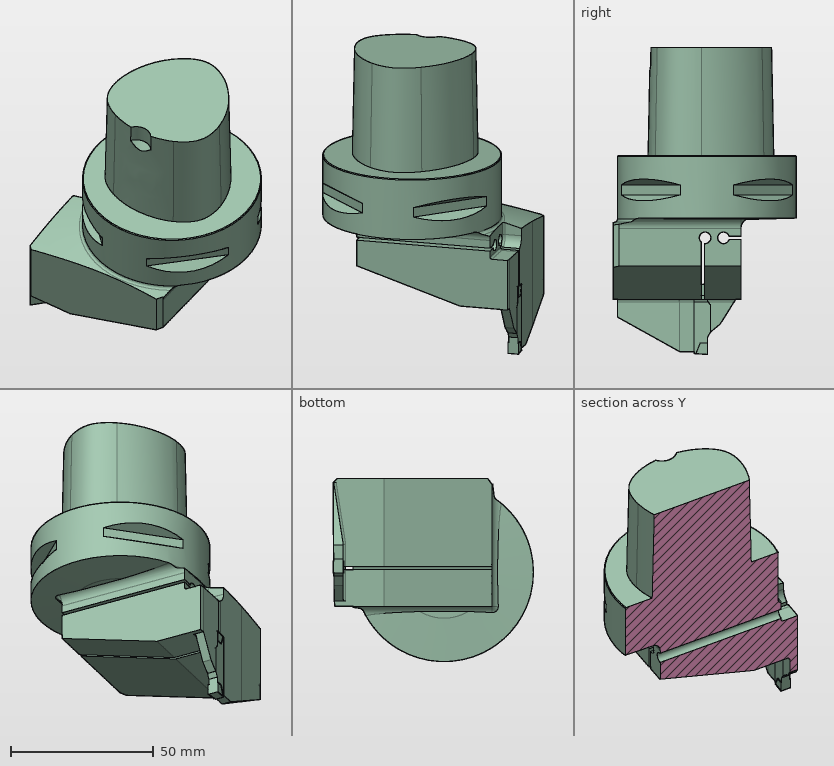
import cadquery as cq
import math


shank_height = 38.0
shank_base_radius = 22.1
shank_top_radius = 21.4
lobe_depth = 1.4
lobe_count = 3
lobe_half_angle = math.radians(35.7)
spline_spans = 8

notch_radius = 5.2
notch_axis_y = -22.8
notch_depth = 6.4
notch_point_depth = 4.6

flange_radius = 63.0 / 2
rim_bottom_z = -22.0
hub_bottom_z = -22.5
hub_radius = 16.2
flange_chamfer = 0.3

groove_count = 4
first_groove_angle = 45
groove_z = -12.1
groove_floor_distance = 27.9
groove_floor_half_height = 1.7
groove_flank_slope = math.tan(math.radians(30))

left_x = -39.0
right_x = 16.8
overall_depth = 64.5
front_y = flange_radius - overall_depth
back_y = 12.0
left_chamfer = 1.5
right_chamfer_x = 1.5
right_chamfer_y = 2.0
relief_start_y = -17.3
relief_depth = 0.38
edge_bevel_y = 1.8
edge_bevel_x = 0.2
block_bottom_z = -50.5
slope_start_x = -21.1
slope_end_z = -38.9

collar_top_z = -22.4
collar_radius = 1.1
cone_slope = math.tan(math.radians(15))
cone_reach = 64.8
root_flare_radius = 3.6

blade_back_x = -35.4
blade_edge_thickness = 0.2
blade_tip_back_x = left_x + blade_edge_thickness
blade_front_y = front_y + left_chamfer
blade_rear_y = back_y - edge_bevel_y
blade_full_y = -9.7
blade_toe_y = -9.5
blade_bottom_z = -69.0
blade_front_z = -56.8
blade_root_fillet = 0.9
finger_knee_y = 4.8
finger_knee_z = -59.2

recess_wall_x = -32.1
recess_side_y = -4.3
recess_floor_z = -32.4
recess_corner_radius = 4.5
recess_fillet = 0.8
slot_width = 1.1
hole_diameter = 4.0
hole_z = -28.9
rear_hole_y = 5.8
front_hole_y = -0.6
clamp_slot_y = -1.4

insert_top_z = -45.1
overall_height = 108.0
insert_bottom_z = shank_height - overall_height
insert_upper_y = 0.2
insert_crown_y = 1.3
insert_seat_y = -4.5
crown_start = 6.0
crown_top_z = -52.6
crown_bottom_z = -62.1
end_relief = 0.3
insert_face_x = -38.8
overall_width = 70.5
tip_outer_x = flange_radius - overall_width
tip_inner_x = -35.1
tip_length = 4.0
tip_root_y = -2.4
tip_heel_y = -3.9
clearance = 10.8


def lobed_point(mean_radius, angle, z):
    """Point of the three-lobed curve whose outward normal has the given angle."""
    phase = lobe_count * (angle - math.pi / 2)
    support = mean_radius + lobe_depth * math.cos(phase)
    slope = -lobe_count * lobe_depth * math.sin(phase)
    return cq.Vector(
        support * math.cos(angle) - slope * math.sin(angle),
        support * math.sin(angle) + slope * math.cos(angle),
        z,
    )


def lobed_edge(mean_radius, start, end, z):
    """Stretch of the three-lobed curve between two normal angles."""
    angles = [start + (end - start) * i / spline_spans for i in range(spline_spans + 1)]
    points = [lobed_point(mean_radius, angle, z) for angle in angles]
    tangents = [cq.Vector(-math.sin(angle), math.cos(angle), 0) for angle in (start, end)]
    return cq.Edge.makeSpline(points, tangents=tangents)


def lobed_wire(mean_radius, z):
    """Closed outline: a lobe and a flank, three times round, one lobe toward +Y."""
    pitch = 2 * math.pi / lobe_count
    edges = []
    for i in range(lobe_count):
        lobe_center = math.pi / 2 + i * pitch
        lobe_start = lobe_center - lobe_half_angle
        lobe_end = lobe_center + lobe_half_angle
        edges.append(lobed_edge(mean_radius, lobe_start, lobe_end, z))
        edges.append(lobed_edge(mean_radius, lobe_end, lobe_start + pitch, z))
    return cq.Wire.assembleEdges(edges)


def make_shank():
    """Tapered polygon shank with the drilled notch at its front."""
    wires = [lobed_wire(shank_base_radius, 0), lobed_wire(shank_top_radius, shank_height)]
    shank = cq.Workplane(cq.Solid.makeLoft(wires, True))
    shoulder_z = shank_height - notch_depth
    drill = (
        cq.Workplane("XZ")
        .moveTo(0, shank_height)
        .lineTo(notch_radius, shank_height)
        .lineTo(notch_radius, shoulder_z)
        .lineTo(0, shoulder_z - notch_point_depth)
        .close()
        .revolve(360, (0, 0), (0, 1))
        .translate((0, notch_axis_y, 0))
    )
    return shank.cut(drill)


def make_flange():
    """Round flange with the gripper grooves at the diagonals."""
    flange = (
        cq.Workplane("XZ")
        .moveTo(0, 0)
        .lineTo(flange_radius - flange_chamfer, 0)
        .lineTo(flange_radius, -flange_chamfer)
        .lineTo(flange_radius, rim_bottom_z)
        .lineTo(hub_radius, hub_bottom_z)
        .lineTo(0, hub_bottom_z)
        .close()
        .revolve(360, (0, 0), (0, 1))
    )
    mouth_distance = flange_radius + clearance
    mouth_half = groove_floor_half_height + (mouth_distance - groove_floor_distance) * groove_flank_slope
    groove = (
        cq.Workplane("XZ")
        .moveTo(groove_floor_distance, groove_z - groove_floor_half_height)
        .lineTo(mouth_distance, groove_z - mouth_half)
        .lineTo(mouth_distance, groove_z + mouth_half)
        .lineTo(groove_floor_distance, groove_z + groove_floor_half_height)
        .close()
        .extrude(flange_radius, both=True)
    )
    for i in range(groove_count):
        flange = flange.cut(groove.rotate((0, 0, 0), (0, 0, 1), first_groove_angle + i * 360 / groove_count))
    return flange


def make_head_envelope():
    """Solid of revolution that bounds the top of the head: collar and cone."""
    collar_outer = flange_radius + collar_radius
    collar_bottom_z = collar_top_z - collar_radius
    cone_end_z = collar_bottom_z - (cone_reach - collar_outer) * cone_slope
    mid = collar_radius * math.sqrt(0.5)
    floor_z = insert_bottom_z - clearance
    return (
        cq.Workplane("XZ")
        .moveTo(0, rim_bottom_z)
        .lineTo(flange_radius, rim_bottom_z)
        .lineTo(flange_radius, collar_top_z)
        .threePointArc(
            (collar_outer - mid, collar_top_z - mid),
            (collar_outer, collar_bottom_z),
        )
        .lineTo(cone_reach, cone_end_z)
        .lineTo(cone_reach, floor_z)
        .lineTo(0, floor_z)
        .close()
        .revolve(360, (0, 0), (0, 1))
    )


def make_block():
    """Prism with the plan outline of the head, with a sloping underside at the right."""
    plan = (
        cq.Workplane("XY")
        .workplane(offset=block_bottom_z)
        .moveTo(left_x, front_y + left_chamfer)
        .lineTo(left_x + left_chamfer, front_y)
        .lineTo(right_x - right_chamfer_x, front_y)
        .lineTo(right_x, front_y + right_chamfer_y)
        .lineTo(right_x, back_y)
        .lineTo(left_x + relief_depth + edge_bevel_x, back_y)
        .lineTo(left_x + relief_depth, back_y - edge_bevel_y)
        .lineTo(left_x, relief_start_y)
        .close()
        .extrude(rim_bottom_z - block_bottom_z)
    )
    underside = (
        cq.Workplane("XZ", origin=(0, back_y, 0))
        .moveTo(slope_start_x, block_bottom_z)
        .lineTo(right_x, slope_end_z)
        .lineTo(right_x, block_bottom_z)
        .close()
        .extrude(back_y - front_y)
    )
    return plan.cut(underside)


def sweep_concave_fillet(start_plane, path, radius):
    """Concave quarter-round fillet under a horizontal face, swept along its inner corner."""
    mid = radius * (1 - math.sqrt(0.5))
    return (
        start_plane
        .moveTo(0, -radius)
        .threePointArc((mid, -mid), (radius, 0))
        .lineTo(0, 0)
        .close()
        .sweep(path, transition="round")
    )


def make_root_flare():
    """Flare between the flange underside and the rear and right sides of the block."""
    path = (
        cq.Workplane("XY", origin=(0, 0, rim_bottom_z))
        .moveTo(left_x, back_y)
        .lineTo(right_x, back_y)
        .lineTo(right_x, front_y + right_chamfer_y)
    )
    start_plane = cq.Workplane("YZ", origin=(left_x, back_y, rim_bottom_z))
    return sweep_concave_fillet(start_plane, path, root_flare_radius)


def make_blade():
    """Thin support blade: side outline crossed with a plan that tapers toward the front."""
    side = (
        cq.Workplane("YZ", origin=(left_x, 0, 0))
        .moveTo(blade_rear_y, block_bottom_z)
        .lineTo(finger_knee_y, finger_knee_z)
        .lineTo(insert_crown_y, crown_bottom_z)
        .lineTo(insert_seat_y, blade_bottom_z)
        .lineTo(blade_toe_y, blade_bottom_z)
        .lineTo(blade_front_y, blade_front_z)
        .lineTo(blade_front_y, block_bottom_z)
        .close()
        .extrude(blade_back_x + blade_root_fillet - left_x)
    )
    plan = (
        cq.Workplane("XY")
        .workplane(offset=block_bottom_z)
        .moveTo(left_x, blade_front_y)
        .lineTo(blade_tip_back_x, blade_front_y)
        .lineTo(blade_back_x, blade_full_y)
        .lineTo(blade_back_x, blade_rear_y)
        .lineTo(left_x + relief_depth, blade_rear_y)
        .lineTo(left_x, relief_start_y)
        .close()
        .extrude(insert_bottom_z - block_bottom_z)
    )
    path = (
        cq.Workplane("XY", origin=(0, 0, block_bottom_z))
        .moveTo(blade_back_x, blade_rear_y)
        .lineTo(blade_back_x, blade_full_y)
        .lineTo(blade_tip_back_x, blade_front_y)
    )
    start_plane = cq.Workplane("XZ", origin=(blade_back_x, blade_rear_y, block_bottom_z))
    root_fillet = sweep_concave_fillet(start_plane, path, blade_root_fillet)
    return side.intersect(plan.union(root_fillet))


def make_recess():
    """Open pocket at the rear left that frees the clamping finger."""
    return (
        cq.Workplane("YZ", origin=(recess_wall_x, 0, 0))
        .moveTo(recess_side_y, 0)
        .lineTo(recess_side_y, recess_floor_z)
        .lineTo(back_y + clearance, recess_floor_z)
        .lineTo(back_y + clearance, 0)
        .close()
        .extrude(left_x - clearance - recess_wall_x)
        .edges("<Y and <Z")
        .fillet(recess_corner_radius)
        .faces(">X")
        .edges("not(>Y or >Z)")
        .fillet(recess_fillet)
    )


def make_clamp_cuts():
    """Two cross holes, the rear slot and the clamping slot, all through along X."""
    def cross_box(y_low, y_high, z_low, z_high):
        return (
            cq.Workplane("YZ", origin=(left_x - clearance, (y_low + y_high) / 2, (z_low + z_high) / 2))
            .rect(y_high - y_low, z_high - z_low)
            .extrude(right_x - left_x + 2 * clearance)
        )

    half = slot_width / 2
    holes = (
        cq.Workplane("YZ", origin=(left_x - clearance, 0, 0))
        .pushPoints([(rear_hole_y, hole_z), (front_hole_y, hole_z)])
        .circle(hole_diameter / 2)
        .extrude(right_x - left_x + 2 * clearance)
    )
    rear_slot = cross_box(rear_hole_y, back_y + clearance, hole_z - half, hole_z + half)
    clamp_slot = cross_box(clamp_slot_y - half, clamp_slot_y + half, block_bottom_z, hole_z)
    return holes.union(rear_slot).union(clamp_slot)


def insert_prism(x_start, x_end):
    """Side profile of the double-ended insert, extruded between two X positions."""
    return (
        cq.Workplane("YZ", origin=(x_start, 0, 0))
        .moveTo(insert_upper_y, insert_top_z)
        .lineTo(insert_upper_y, insert_top_z - crown_start)
        .lineTo(insert_crown_y, crown_top_z)
        .lineTo(insert_crown_y, crown_bottom_z)
        .lineTo(insert_upper_y, insert_bottom_z + crown_start)
        .lineTo(insert_upper_y, insert_bottom_z)
        .lineTo(insert_seat_y, insert_bottom_z + end_relief)
        .lineTo(insert_seat_y, insert_top_z - end_relief)
        .close()
        .extrude(x_end - x_start)
    )


def insert_tips(x_start, x_end):
    """Wider cutting tips at both ends of the insert."""
    middle_z = (insert_top_z + insert_bottom_z) / 2
    lower = (
        cq.Workplane("YZ", origin=(x_start, 0, 0))
        .moveTo(insert_upper_y, insert_bottom_z)
        .lineTo(insert_upper_y, insert_bottom_z + tip_length)
        .lineTo(tip_root_y, insert_bottom_z + tip_length)
        .lineTo(tip_heel_y, insert_bottom_z + end_relief)
        .close()
        .extrude(x_end - x_start)
    )
    upper = lower.mirror("XY", (0, 0, middle_z))
    return lower.union(upper)


def make_insert():
    """Double-ended cutting insert."""
    return insert_prism(insert_face_x, blade_back_x).union(insert_tips(tip_outer_x, tip_inner_x))


def make_holder():
    """Shank, flange, head and blade in one piece, with a pocket that fits the insert."""
    flange = make_flange()
    head = make_block().union(make_root_flare()).intersect(make_head_envelope())
    head = head.cut(make_recess()).union(make_blade())
    head = head.cut(make_clamp_cuts())
    holder = make_shank().union(flange).union(head)
    outside_x = left_x - clearance
    holder = holder.cut(insert_prism(outside_x, blade_back_x))
    return holder.cut(insert_tips(outside_x, tip_inner_x))


holder = make_holder()
insert = make_insert()
result = cq.Compound.makeCompound([holder.solids().val(), insert.solids().val()])